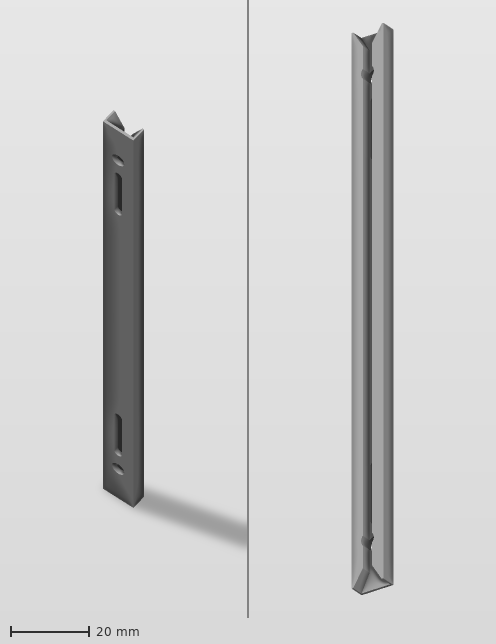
import cadquery as cq

length = 160.0
width = 10.0
depth = 4.5
groove_width = 2.9
groove_floor = 1.5

mouth_rim = 0.5
mouth_floor = 0.8
lead_in_length = 4.8

hole_diameter = 4.0
hole_offset = 67.2
slot_width = 2.4
slot_length = 18.0
slot_offset = 52.5


def groove_section(section_width, floor, height):
    """Rectangular groove cross-section at the given height along Z, open on the +Y side."""
    section_depth = depth - floor
    plane = cq.Workplane("XY", origin=(0, floor + section_depth / 2, height))
    return plane.rect(section_width, section_depth)


def lead_in():
    """Lead-in at the upper end, widening from the groove to a mouth with a thin rim."""
    mouth_width = width - 2 * mouth_rim
    inner = groove_section(groove_width, groove_floor, length / 2 - lead_in_length)
    outer = groove_section(mouth_width, mouth_floor, length / 2)
    return cq.Workplane(cq.Solid.makeLoft([inner.wire().val(), outer.wire().val()], True))


def openings():
    """Round hole and long slot of the upper half, running through along Y."""
    face = cq.Workplane("XZ")
    hole = face.center(0, hole_offset).circle(hole_diameter / 2).extrude(-depth)
    slot = face.center(0, slot_offset).slot2D(slot_length, slot_width, 90).extrude(-depth)
    return hole.union(slot)


bar = cq.Workplane("XY").box(width, depth, length, centered=(True, False, True))
groove = groove_section(groove_width, groove_floor, -length / 2).extrude(length)
result = bar.cut(groove)

for end_cut in (lead_in(), openings()):
    result = result.cut(end_cut).cut(end_cut.mirror("XY"))